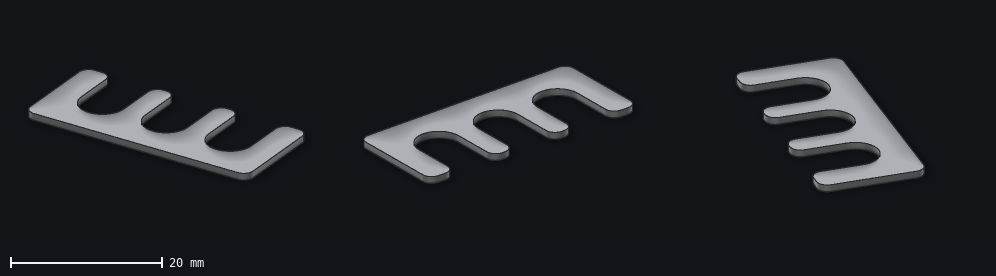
import cadquery as cq

length = 35.0
width = 15.0
thickness = 1.0
corner_radius = 1.5

slot_count = 3
slot_pitch = 10.0
slot_width = 6.6
slot_round_center_y = 0.0


def make_slot(center_x):
    """Cutter for one slot, from its round bottom out to the +Y edge."""
    radius = slot_width / 2
    edge_y = width / 2
    left = center_x - radius
    right = center_x + radius
    return (
        cq.Workplane("XY")
        .moveTo(left, edge_y)
        .lineTo(left, slot_round_center_y)
        .threePointArc((center_x, slot_round_center_y - radius), (right, slot_round_center_y))
        .lineTo(right, edge_y)
        .close()
        .extrude(thickness)
    )


plate = cq.Workplane("XY").box(length, width, thickness, centered=(True, True, False))
for index in range(slot_count):
    plate = plate.cut(make_slot((index - (slot_count - 1) / 2) * slot_pitch))

result = plate.edges("|Z and (>Y or <Y)").fillet(corner_radius)